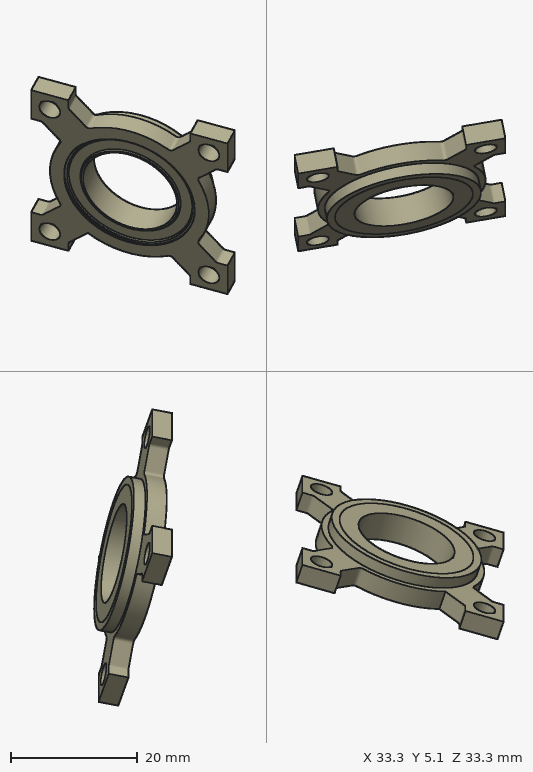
import cadquery as cq
import math

SIDE = 33.27
PLATE_DEPTH = 3.23
TOTAL_DEPTH = 5.1
HUB_RADIUS = 13.47
BOSS_RADIUS = 12.38
PAD_SIZE = 6.32
SPOKE_WIDTH = 6.35
FILLET_RADIUS = 0.65
BOLT_DIAMETER = 3.53
BOLT_OFFSET = (SIDE - PAD_SIZE) / 2
CORNERS = [(sx * BOLT_OFFSET, sz * BOLT_OFFSET) for sx in (-1, 1) for sz in (-1, 1)]

BEARING_RADIUS = 11.08
BORE_RADIUS = 7.95
BEARING_RECESS = 0.3
GROOVE_DEPTH = 0.23
GROOVE_OUTER_RADIUS = 10.68
GROOVE_INNER_RADIUS = 8.3
GROOVE_TAPER = 0.23



def make_plate():
    spoke_length = 2 * math.hypot(BOLT_OFFSET, BOLT_OFFSET)
    hub = cq.Workplane("XZ").circle(HUB_RADIUS).extrude(-PLATE_DEPTH)
    spokes = hub
    for angle in (45, -45):
        spoke = (
            cq.Workplane("XZ")
            .rect(spoke_length, SPOKE_WIDTH)
            .extrude(-PLATE_DEPTH)
            .rotate((0, 0, 0), (0, 1, 0), angle)
        )
        spokes = spokes.union(spoke)
    pads = cq.Workplane("XZ").pushPoints(CORNERS).rect(PAD_SIZE, PAD_SIZE).extrude(-PLATE_DEPTH)
    return spokes.union(pads)


def round_spoke_ends(plate):
    """Fillet the concave edges where the spokes meet the hub and the pads.

    One hub edge stays sharp: the lower one on the spoke toward -X and -Z.
    """
    half_width = SPOKE_WIDTH / 2
    hub_reach = math.sqrt(HUB_RADIUS**2 - half_width**2)
    pad_inner = SIDE / 2 - PAD_SIZE
    pad_reach = math.sqrt(2) * pad_inner + half_width
    reach_tolerance = 0.003

    def is_root(edge):
        center = edge.Center()
        along = (abs(center.x) + abs(center.z)) / math.sqrt(2)
        at_hub = abs(along - hub_reach) < reach_tolerance
        at_pad = abs(along - pad_reach) < reach_tolerance
        stays_sharp = at_hub and center.z < center.x < 0
        return (at_hub or at_pad) and not stays_sharp

    roots = [edge for edge in plate.edges("|Y").vals() if is_root(edge)]
    return plate.newObject(roots).fillet(FILLET_RADIUS)


def make_housing():
    boss = cq.Workplane("XZ").circle(BOSS_RADIUS).extrude(-TOTAL_DEPTH)
    seat = cq.Workplane("XZ").circle(BEARING_RADIUS).extrude(-TOTAL_DEPTH)
    bolt_holes = cq.Workplane("XZ").pushPoints(CORNERS).circle(BOLT_DIAMETER / 2).extrude(-PLATE_DEPTH)
    return round_spoke_ends(make_plate()).union(boss).cut(seat).cut(bolt_holes)


def make_bearing():
    """Revolve the ring's half section, drawn as (radius, Y), around the Y axis."""
    front = BEARING_RECESS
    groove_floor = front + GROOVE_DEPTH
    section = [
        (BORE_RADIUS, front),
        (GROOVE_INNER_RADIUS, front),
        (GROOVE_INNER_RADIUS + GROOVE_TAPER, groove_floor),
        (GROOVE_OUTER_RADIUS - GROOVE_TAPER, groove_floor),
        (GROOVE_OUTER_RADIUS, front),
        (BEARING_RADIUS, front),
        (BEARING_RADIUS, TOTAL_DEPTH),
        (BORE_RADIUS, TOTAL_DEPTH),
    ]
    return cq.Workplane("XY").polyline(section).close().revolve(360, (0, 0, 0), (0, 1, 0))


housing = make_housing()
bearing = make_bearing()

result = cq.Compound.makeCompound([housing.val(), bearing.val()])